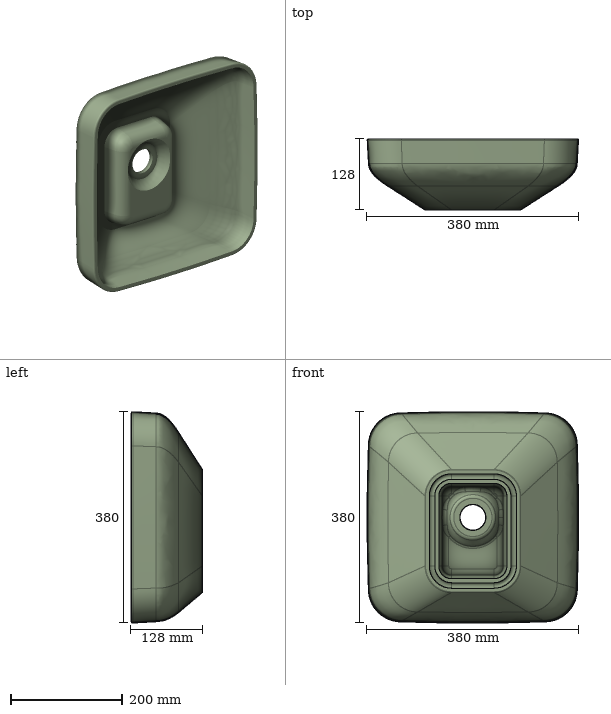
import cadquery as cq
import math


HALF_SIZE = 190.0
DEPTH = 128.0
WALL = 8.7
BACK_ROUND = 3.0
RIM_ROUND = 2.0
SIDE_DEPTH = 45.0
KNEE_DEPTH = 63.8
SLOPE_DEPTH = 85.0
SHOULDER_STEPS = 4

MOUTH_HALF_WIDTH = 61.0
MOUTH_TOP = 61.0
MOUTH_BOTTOM = 110.0
MOUTH_CORNER = 23.0
POCKET_DEPTH = 43.3
POCKET_DRAFT = 11.0
FLOOR_FILLET = 11.5

RIM_WIDTH = 24.3
GROOVE_OFFSET = 12.0
GROOVE_RADIUS = 5.0

BOSS_FACE_DEPTH = 24.0
BOSS_FOOT_RADIUS = 53.5
BOSS_FLANK_ANGLE = 38.0
BOSS_FACE_FILLET = 8.5
BOSS_BASE_FILLET = 5.0
HOLE_DIAMETER = 46.0
SELECT_GAP = 0.5

SIDE_HALF = 187.5
DRAFT_GAIN = (HALF_SIZE - SIDE_HALF) * BACK_ROUND / (SIDE_DEPTH - BACK_ROUND)
BACK_HALF = HALF_SIZE + DRAFT_GAIN
BACK_OUTLINE = (BACK_HALF, BACK_HALF, BACK_HALF, 59.2, 2.3)
SIDE_OUTLINE = (SIDE_HALF, SIDE_HALF, SIDE_HALF, 58.5, 2.3)
KNEE_OUTLINE = (186.5, 186.5, 187.5, 57.7, 2.0)
SLOPE_OUTLINE = (152.5, 152.5, 171.0, 52.5, 1.0)
RIM_OUTLINE = (
    MOUTH_HALF_WIDTH + RIM_WIDTH,
    MOUTH_TOP + RIM_WIDTH,
    MOUTH_BOTTOM + RIM_WIDTH,
    MOUTH_CORNER + RIM_WIDTH,
    0.0,
)


def front_plane(depth):
    """Workplane at a depth in front of the back plane, looking out of the front (-Y)."""
    return cq.Workplane("XZ", origin=(0, -depth, 0))


def outline_wire(outline, depth, inset=0.0):
    """Closed rounded rectangle whose sides bow outwards in the middle."""
    half_width, top, bottom, corner, bow = outline
    right = half_width - inset
    upper = top - inset
    lower = inset - bottom
    size = corner - inset
    edge_x = right - bow
    edge_top = upper - bow
    edge_bottom = lower + bow
    middle = (edge_top + edge_bottom) / 2
    cut = size * (1 - math.sqrt(0.5))

    sketch = front_plane(depth).moveTo(edge_x, edge_bottom + size)

    def side(through, end):
        return sketch.threePointArc(through, end) if bow else sketch.lineTo(*end)

    sketch = side((right, middle), (edge_x, edge_top - size))
    sketch = sketch.threePointArc((edge_x - cut, edge_top - cut), (edge_x - size, edge_top))
    sketch = side((0, upper), (size - edge_x, edge_top))
    sketch = sketch.threePointArc((cut - edge_x, edge_top - cut), (-edge_x, edge_top - size))
    sketch = side((-right, middle), (-edge_x, edge_bottom + size))
    sketch = sketch.threePointArc((cut - edge_x, edge_bottom + cut), (size - edge_x, edge_bottom))
    sketch = side((0, lower), (edge_x - size, edge_bottom))
    sketch = sketch.threePointArc((edge_x - cut, edge_bottom + cut), (edge_x, edge_bottom + size))
    return sketch.close().wires().val()


def blend(start, knee, end, t):
    """Point at t on the quadratic curve that leaves start and reaches end towards the knee."""
    return (1 - t) ** 2 * start + 2 * t * (1 - t) * knee + t ** 2 * end


def outer_form(inset=0.0, shift=0.0):
    """Solid cushion shape: side wall, rounded shoulder and slope, inset and moved back for the cavity."""
    shoulder = []
    for step in range(SHOULDER_STEPS + 1):
        t = step / SHOULDER_STEPS
        outline = [blend(*sizes, t) for sizes in zip(SIDE_OUTLINE, KNEE_OUTLINE, SLOPE_OUTLINE)]
        depth = blend(SIDE_DEPTH, KNEE_DEPTH, SLOPE_DEPTH, t)
        shoulder.append(outline_wire(outline, depth - shift, inset))
    back = outline_wire(BACK_OUTLINE, 0, inset)
    rim = outline_wire(RIM_OUTLINE, DEPTH - shift, inset)
    form = cq.Workplane(cq.Solid.makeLoft([back, shoulder[0]], True))
    form = form.union(cq.Workplane(cq.Solid.makeLoft(shoulder)))
    return form.union(cq.Workplane(cq.Solid.makeLoft([shoulder[-1], rim], True)))


def mouth_rectangle(depth, offset):
    """Rounded rectangle on a plane, outside the pocket opening by an offset."""
    height = MOUTH_TOP + MOUTH_BOTTOM
    sketch = cq.Sketch().rect(2 * (MOUTH_HALF_WIDTH + offset), height + 2 * offset)
    sketch = sketch.vertices().fillet(MOUTH_CORNER + offset)
    return front_plane(depth).center(0, (MOUTH_TOP - MOUTH_BOTTOM) / 2).placeSketch(sketch)


def boss(wall=0.0):
    """Round boss on the pocket floor; with a wall, the hollow that lies that far behind its surface."""
    face = DEPTH - BOSS_FACE_DEPTH - wall
    floor = DEPTH - POCKET_DEPTH - wall
    slant = math.radians(BOSS_FLANK_ANGLE)
    foot_radius = BOSS_FOOT_RADIUS - wall / math.cos(slant) + wall * math.tan(slant)
    top_radius = foot_radius - (face - floor) * math.tan(slant)
    section = cq.Workplane("XY").polyline(
        [(0, -floor), (foot_radius, -floor), (top_radius, -face), (0, -face)]
    )
    return section.close().revolve(360, (0, 0), (0, 1))


def pocket_space(wall=0.0):
    """Space of the drafted front pocket around its boss, grown by a wall all round."""
    block = mouth_rectangle(DEPTH, wall).extrude(-POCKET_DEPTH - wall, taper=POCKET_DRAFT)
    block = block.faces(">Y").edges().fillet(FLOOR_FILLET + wall)
    return block.cut(boss(wall))


def selection_box(reach, y_back, y_front):
    """Selects what has its centre within a reach of the hole axis and between two Y positions."""
    return cq.selectors.BoxSelector((-reach, y_back, -reach), (reach, y_front, reach))


def pocket():
    """Finished pocket: rounded boss face edge, and a fillet where the boss flank meets floor and walls."""
    space = pocket_space()
    face = BOSS_FACE_DEPTH - DEPTH
    floor = POCKET_DEPTH - DEPTH
    around_flank = selection_box(BOSS_FOOT_RADIUS / 2, floor, face)
    flank_foot = selection_box(HALF_SIZE, floor + SELECT_GAP, floor - BOSS_BASE_FILLET)
    face_edge = selection_box(SELECT_GAP, face + SELECT_GAP, face - SELECT_GAP)
    space = space.faces("%CONE").faces(around_flank).edges(flank_foot).fillet(BOSS_BASE_FILLET)
    return space.edges("%CIRCLE").edges(face_edge).fillet(BOSS_FACE_FILLET)


def rim_groove():
    """Half-round groove along the middle of the rim."""
    path = mouth_rectangle(DEPTH, GROOVE_OFFSET).extrude(-WALL).faces("<Y").wires().val()
    start = (MOUTH_HALF_WIDTH + GROOVE_OFFSET, -DEPTH, 0)
    return cq.Workplane("XY", origin=start).circle(GROOVE_RADIUS).sweep(cq.Workplane(path))


def cavity():
    """Inside of the shell, open at the back, leaving the front wall and the walls around the pocket."""
    slope_run = SLOPE_OUTLINE[0] - RIM_OUTLINE[0]
    slope_angle = math.atan2(slope_run, DEPTH - SLOPE_DEPTH)
    shift = WALL * math.tan(slope_angle / 2)
    front_wall = front_plane(DEPTH - WALL).rect(2 * HALF_SIZE, 2 * HALF_SIZE).extrude(WALL)
    return outer_form(WALL, shift).cut(front_wall).cut(pocket_space(WALL))


result = outer_form().faces(">Y").edges().fillet(BACK_ROUND)
result = result.faces("<Y").edges().fillet(RIM_ROUND)
result = result.cut(cavity()).cut(pocket()).cut(rim_groove())
result = result.cut(front_plane(0).circle(HOLE_DIAMETER / 2).extrude(DEPTH))